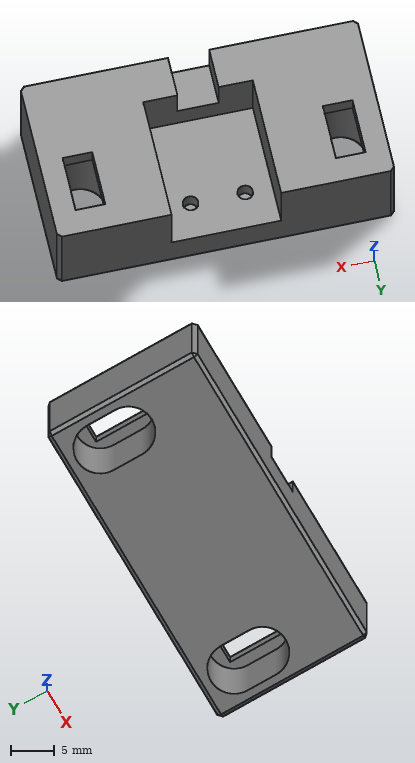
import cadquery as cq

length = 40.0
width = 20.0
height = 11.8
edge_chamfer = 0.5

pocket_width = 13.0
pocket_length = 15.0
pocket_depth = 7.05

notch_width = 4.9
notch_depth = 4.0

hole_diameter = 1.8
hole_spacing = 6.5
hole_from_back = 4.5
hole_depth = 2.0

slot_width = 3.5
slot_length = 6.9
slot_spacing = 30.9
slot_from_back = 3.05

recess_width = 6.2
recess_length = 10.0
slot_depth = 2.0

back = width / 2


def cut_box(size_x, size_y, depth, center_x, center_y):
    """Box that reaches down from the top face by the given depth."""
    return (
        cq.Workplane("XY", origin=(center_x, center_y, height - depth))
        .rect(size_x, size_y)
        .extrude(depth)
    )


block = (
    cq.Workplane("XY")
    .box(length, width, height, centered=(True, True, False))
    .edges("|Z or <Z")
    .chamfer(edge_chamfer)
)

pocket = cut_box(pocket_width, pocket_length, pocket_depth, 0, back - pocket_length / 2)

notch_length = width - pocket_length
notch = cut_box(notch_width, notch_length, notch_depth, 0, -back + notch_length / 2)

result = block.cut(pocket).cut(notch)

slot_y = back - slot_from_back - slot_length / 2
recess_height = height - slot_depth
pocket_floor = height - pocket_depth
hole_y = back - hole_from_back

for side in (-1, 1):
    slot_x = side * slot_spacing / 2
    slot = cut_box(slot_width, slot_length, slot_depth, slot_x, slot_y)
    recess = (
        cq.Workplane("XY")
        .center(slot_x, slot_y)
        .slot2D(recess_length, recess_width, angle=90)
        .extrude(recess_height)
    )
    hole = (
        cq.Workplane("XY", origin=(side * hole_spacing / 2, hole_y, pocket_floor - hole_depth))
        .circle(hole_diameter / 2)
        .extrude(hole_depth)
    )
    result = result.cut(slot).cut(recess).cut(hole)